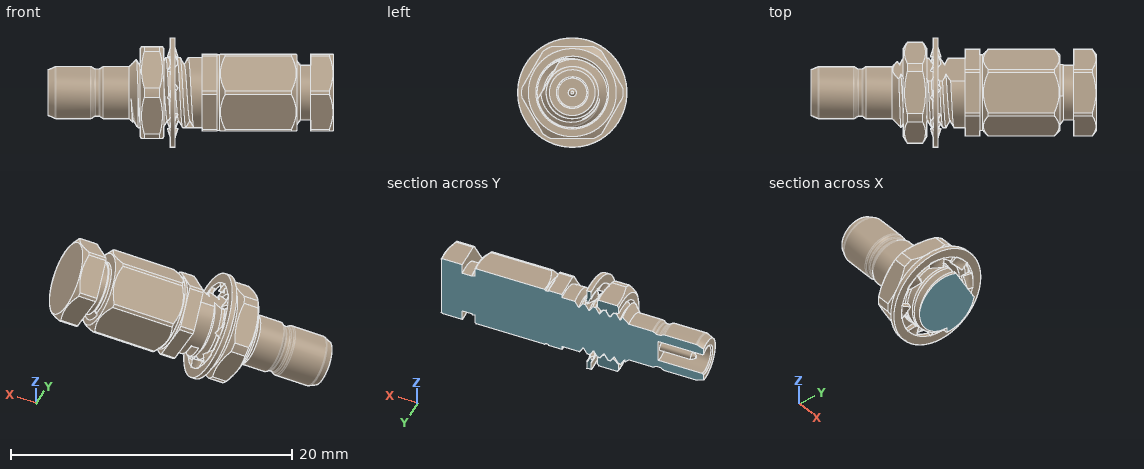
import cadquery as cq
import math


total_length = 20.31
tip_taper_length = 0.54
groove_floor_start = 3.33
groove_floor_end = 3.67
groove_flank_length = 0.245
thread_start = 5.78
flange_start = 10.96
flange_end = 12.02
main_hex_start = 12.2
main_hex_end = 17.71
shoulder_length = 0.24
end_hex_start = 18.67

nose_radius = 1.86
tip_radius = 1.63
tip_round = 0.2
groove_floor_radius = 1.69
groove_entry_round = 0.2
groove_exit_round = 0.12
undercut_radius = 2.7
shoulder_radius = 2.29
neck_radius = 1.96
shoulder_relief_radius = 2.02
shoulder_relief_edge = -0.25
body_hex_flats = 5.48
body_hex_corner_radius = 3.09
hex_chamfer_face_radius = 2.68
main_hex_chamfer_length = 0.4
end_hex_chamfer_length = 0.3

thread_radius = 2.5
thread_pitch = 0.8
groove_depth = 0.5
thread_half_angle = 30
groove_end_x = 10.09
groove_turns = 6
flat_distance = 1.9
flat_direction = 30

socket_radius = 1.03
socket_mouth_radius = 1.13
socket_depth = 3.5
pin_radius = 0.29
pin_tip_radius = 0.1
pin_tip_length = 0.3
pin_recess = 0.8

nut_start = 6.56
nut_end = 8.24
nut_flats = 6.55
nut_corner_radius = 3.6
nut_face_radius = 3.13
nut_chamfer_length = 0.29
nut_bore_radius = 2.04
nut_countersink_radius = 2.59

washer_radius = 7.79 / 2
washer_inner_radius = 3.2
washer_start = 8.69
washer_thickness = 0.36
tooth_count = 8
tooth_root_radius = 3.3
tooth_tip_radius = 2.55
tooth_root_width = 1.3
tooth_tip_width = 1.0
tooth_thickness = 0.3
tooth_twist = 30


def revolve_profile(points):
    """Solid of revolution about X from (x, radius) points."""
    return cq.Workplane("XY").polyline(points).close().revolve(360, (0, 0, 0), (1, 0, 0))


def cylinder(x_start, x_end, radius):
    return cq.Workplane("YZ", origin=(x_start, 0, 0)).circle(radius).extrude(x_end - x_start)


def turned_hex(x_start, x_end, across_flats, corner_radius, face_radius, start_chamfer, end_chamfer):
    """Hexagon with flats facing +Z and -Z, its corners turned down and its ends chamfered."""
    prism = (
        cq.Workplane("YZ", origin=(x_start, 0, 0))
        .polygon(6, across_flats / math.cos(math.pi / 6))
        .extrude(x_end - x_start)
    )
    start_radius = face_radius if start_chamfer else corner_radius
    end_radius = face_radius if end_chamfer else corner_radius
    outline = [(x_start, 0), (x_start, start_radius)]
    if start_chamfer:
        outline.append((x_start + start_chamfer, corner_radius))
    if end_chamfer:
        outline.append((x_end - end_chamfer, corner_radius))
    outline += [(x_end, end_radius), (x_end, 0)]
    return prism.intersect(revolve_profile(outline))


def thread_groove():
    """Sharp V groove winding right-handed toward +X, ending below the axis at groove_end_x."""
    overshoot = 0.1
    root_radius = thread_radius - groove_depth
    mouth_radius = thread_radius + overshoot
    mouth_half_width = (groove_depth + overshoot) * math.tan(math.radians(thread_half_angle))
    length = groove_turns * thread_pitch
    path = cq.Wire.makeHelix(thread_pitch, length, thread_radius)
    groove = (
        cq.Workplane("XZ")
        .polyline([(root_radius, 0), (mouth_radius, mouth_half_width), (mouth_radius, -mouth_half_width)])
        .close()
        .sweep(cq.Workplane(obj=path), isFrenet=True)
    )
    return groove.rotate((0, 0, 0), (0, 1, 0), 90).translate((groove_end_x - length, 0, 0))


def threaded_rod():
    """Full round thread with a 45 degree lead-in cone."""
    lead_in = thread_radius - nose_radius
    seam_turn = 120
    rod = revolve_profile([
        (thread_start, 0),
        (thread_start, nose_radius),
        (thread_start + lead_in, thread_radius),
        (flange_start, thread_radius),
        (flange_start, 0),
    ])
    return rod.rotate((0, 0, 0), (1, 0, 0), seam_turn).cut(thread_groove())


def thread_flat():
    """Block that removes the side of the thread beyond the flat."""
    block_depth = thread_radius
    block_width = 3 * thread_radius
    length = flange_start - thread_start
    block = cq.Workplane("XY").box(length, block_depth, block_width, centered=(False, False, True))
    return block.translate((thread_start, flat_distance, 0)).rotate((0, 0, 0), (1, 0, 0), flat_direction)


def ring_edge(x, radius):
    """Selector for the circular edge passing through (x, radius)."""
    reach = 0.02
    return cq.selectors.BoxSelector(
        (x - reach, -radius - reach, -radius - reach),
        (x + reach, radius + reach, radius + reach),
        boundingbox=True,
    )


def nose():
    """Mating barrel with a tapered tip and a shallow snap groove."""
    groove_start = groove_floor_start - groove_flank_length
    groove_end = groove_floor_end + groove_flank_length
    barrel = revolve_profile([
        (0, 0),
        (0, tip_radius),
        (tip_taper_length, nose_radius),
        (groove_start, nose_radius),
        (groove_floor_start, groove_floor_radius),
        (groove_floor_end, groove_floor_radius),
        (groove_end, nose_radius),
        (thread_start, nose_radius),
        (thread_start, 0),
    ])
    barrel = barrel.edges(ring_edge(tip_taper_length, nose_radius)).fillet(tip_round)
    for x, radius in [(groove_start, nose_radius), (groove_floor_start, groove_floor_radius)]:
        barrel = barrel.edges(ring_edge(x, radius)).fillet(groove_entry_round)
    for x, radius in [(groove_floor_end, groove_floor_radius), (groove_end, nose_radius)]:
        barrel = barrel.edges(ring_edge(x, radius)).fillet(groove_exit_round)
    return barrel


def socket():
    """Blind bore in the tip with a chamfered mouth, leaving the pointed pin standing inside."""
    mouth_chamfer = socket_mouth_radius - socket_radius
    pin_cone_end = pin_recess + pin_tip_length
    return revolve_profile([
        (0, 0),
        (0, socket_mouth_radius),
        (mouth_chamfer, socket_radius),
        (socket_depth, socket_radius),
        (socket_depth, pin_radius),
        (pin_cone_end, pin_radius),
        (pin_recess, pin_tip_radius),
        (pin_recess, 0),
    ])


def shoulder_relief():
    """Region on the +Y side where the shoulder cone is cut back almost to the neck."""
    depth = 2 * shoulder_radius
    block = (
        cq.Workplane("XY")
        .box(shoulder_length, depth, depth, centered=(False, False, True))
        .translate((main_hex_end, shoulder_relief_edge, 0))
    )
    return block.cut(cylinder(main_hex_end, main_hex_end + shoulder_length, shoulder_relief_radius))


def make_connector_body():
    flange = turned_hex(
        flange_start, flange_end, body_hex_flats, body_hex_corner_radius, hex_chamfer_face_radius, 0, 0
    )
    undercut = cylinder(flange_end, main_hex_start, undercut_radius)
    main_hex = turned_hex(
        main_hex_start, main_hex_end, body_hex_flats, body_hex_corner_radius, hex_chamfer_face_radius,
        main_hex_chamfer_length, main_hex_chamfer_length,
    )
    neck = revolve_profile([
        (main_hex_end, 0),
        (main_hex_end, shoulder_radius),
        (main_hex_end + shoulder_length, neck_radius),
        (end_hex_start, neck_radius),
        (end_hex_start, 0),
    ]).cut(shoulder_relief())
    end_hex = turned_hex(
        end_hex_start, total_length, body_hex_flats, body_hex_corner_radius, hex_chamfer_face_radius,
        0, end_hex_chamfer_length,
    )
    body = threaded_rod().cut(thread_flat())
    for section in [nose(), flange, undercut, main_hex, neck, end_hex]:
        body = body.union(section)
    return body.cut(socket())


def make_nut():
    """Hex nut whose bore carries the mating thread, countersunk at both ends."""
    blank = turned_hex(
        nut_start, nut_end, nut_flats, nut_corner_radius, nut_face_radius,
        nut_chamfer_length, nut_chamfer_length,
    )
    countersink = nut_countersink_radius - nut_bore_radius
    bore = revolve_profile([
        (nut_start, 0),
        (nut_start, nut_countersink_radius),
        (nut_start + countersink, nut_bore_radius),
        (nut_end - countersink, nut_bore_radius),
        (nut_end, nut_countersink_radius),
        (nut_end, 0),
    ])
    return blank.cut(bore).cut(threaded_rod())


def washer_tooth():
    """Tooth pointing inward from +Y, flat at the ring and twisted about its own length at the tip."""
    root_to_tip = tooth_root_radius - tooth_tip_radius
    return (
        cq.Workplane("XZ", origin=(0, tooth_root_radius, 0))
        .rect(tooth_thickness, tooth_root_width)
        .workplane(offset=root_to_tip)
        .transformed(rotate=(0, 0, tooth_twist))
        .rect(tooth_thickness, tooth_tip_width)
        .loft(ruled=True)
        .translate((washer_start + washer_thickness / 2, 0, 0))
    )


def make_lock_washer():
    washer = (
        cq.Workplane("YZ", origin=(washer_start, 0, 0))
        .circle(washer_radius)
        .circle(washer_inner_radius)
        .extrude(washer_thickness)
    )
    tooth = washer_tooth()
    for index in range(tooth_count):
        washer = washer.union(tooth.rotate((0, 0, 0), (1, 0, 0), index * 360 / tooth_count))
    return washer


connector_body = make_connector_body()
nut = make_nut()
lock_washer = make_lock_washer()

result = cq.Compound.makeCompound([connector_body.val(), nut.val(), lock_washer.val()])